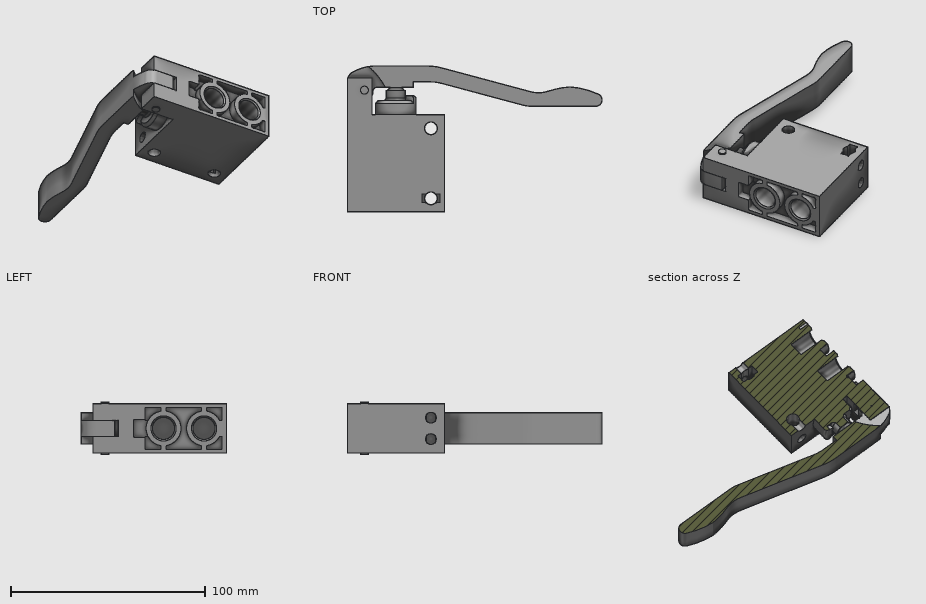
import cadquery as cq
import math


block_size = 50.0
block_thick = 25.5
post_width = 12.7
post_top = 68.9
hinge_slot_width = 8.3
hinge_slot_floor = 55.5

mount_x = 43.0
mount_hole_dia = 6.4
mount_low_y = 7.0
mount_high_y = 43.0
cross_bore_dia = 5.5
cross_bore_z = 5.5
mount_slot_length = 9.2
mount_slot_width = 4.5
mount_slot_depth = 22.9

port_dia = 11.4
port_depth = 14.4
port_chamfer = 0.8
port_low_y = 11.7
port_high_y = 32.5
boss_dia = 18.0
pocket_depth = 5.0
pocket_low_y = 2.4
pocket_high_y = 42.0
pocket_half_height = 10.9
pocket_inner_z = 4.0
pocket_fillet = 0.7
boss_rib_half = 1.3
latch_high_y = 48.0
latch_height = 9.2
latch_depth = 4.5

plunger_x = 24.9
cup_radius = 10.5
cup_shoulder_y = 55.8
cup_chamfer = 1.6
collar_radius = 5.8
neck_radius = 5.0
neck_base_y = 58.5
neck_top_y = 62.5
dome_base_radius = 4.5
dome_top_radius = 2.9
lip_top_y = 59.7
lip_round = 1.6
lip_angle = 60.0

pin_x = 8.8
pin_y = 62.6
pin_dia = 4.0
pin_length = 27.0
lever_width = 16.2
lever_length = 131.0
lever_top_y = 75.0
lever_arm_bottom_y = 66.8
lever_pad_y = 64.0
lever_pad_end_x = 33.9
tongue_bottom_y = 57.6
tongue_right_x = 13.1
tongue_fillet = 2.2
tongue_heel_radius = 3.7
tongue_width = hinge_slot_width - 0.1
nose_start_y = 67.5
nose_middle = (1.0, 70.5)
nose_end = (3.5, 72.3)
crown_middle = (8.9, 74.4)
crown_end_x = 14.8
shoulder_top_x = 10.5
shoulder_middle = (16.1, 69.3)
shoulder_bottom_x = 19.5
arm_drop_angle = 15.0
arm_top_corner_x = 44.9
arm_top_radius = 27.5
arm_bottom_corner_x = 45.6
arm_bottom_radius = 22.3
grip_bottom_y = 54.2
grip_corner_radius = 19.0
grip_valley_start_x = 94.3
grip_valley_end = (103.2, 62.1)
grip_crest = (114.5, 64.3)
grip_back_middle = (121.8, 63.1)
grip_back_end = (128.5, 60.8)
grip_tip_y = 57.5
grip_bottom_end_x = 127.6


def box(x_min, x_max, y_min, y_max, height):
    """Block between X and Y limits, centred on Z = 0."""
    size = (x_max - x_min, y_max - y_min, height)
    centre = ((x_min + x_max) / 2, (y_min + y_max) / 2, 0)
    return cq.Workplane("XY").box(*size).translate(centre)


def rod_x(y, dia, depth):
    """Cylinder entering the X = 0 face."""
    return cq.Workplane("YZ").center(y, 0).circle(dia / 2).extrude(depth)


def make_body():
    body = box(0, block_size, 0, block_size, block_thick)
    body = body.union(box(0, post_width, 0, post_top, block_thick))
    return body.cut(box(0, post_width, hinge_slot_floor, post_top, hinge_slot_width))


def cut_mounting(body):
    for y in (mount_low_y, mount_high_y):
        hole = cq.Workplane("XY").center(mount_x, y).circle(mount_hole_dia / 2)
        body = body.cut(hole.extrude(block_thick, both=True))

    for face_y, hole_y in ((0, mount_low_y), (block_size, mount_high_y)):
        bores = (
            cq.Workplane("XZ", origin=(mount_x, face_y, 0))
            .pushPoints([(0, cross_bore_z), (0, -cross_bore_z)])
            .circle(cross_bore_dia / 2)
            .extrude(face_y - hole_y)
        )
        body = body.cut(bores)

    slot = (
        cq.Workplane("XY", origin=(mount_x, mount_low_y, block_thick / 2))
        .rect(mount_slot_length, mount_slot_width)
        .extrude(-mount_slot_depth)
    )
    return body.cut(slot)


def face_pocket(y_min, y_max, z_min, z_max, depth):
    """Pocket in the X = 0 face that leaves the round port bosses standing."""
    pocket = (
        cq.Workplane("YZ")
        .center((y_min + y_max) / 2, (z_min + z_max) / 2)
        .rect(y_max - y_min, z_max - z_min)
        .extrude(depth)
    )
    for y in (port_low_y, port_high_y):
        pocket = pocket.cut(rod_x(y, boss_dia, depth))
    return pocket.edges("|X").fillet(pocket_fillet)


def cut_ports(body):
    for y in (port_low_y, port_high_y):
        body = body.cut(rod_x(y, port_dia, port_depth))
        mouth = cq.Solid.makeCone(
            port_dia / 2 + port_chamfer, port_dia / 2, port_chamfer,
            pnt=cq.Vector(0, y, 0), dir=cq.Vector(1, 0, 0),
        )
        body = body.cut(cq.Workplane(mouth))
    return body


def cut_pockets(body):
    body = body.cut(face_pocket(
        port_low_y + boss_rib_half, port_high_y - boss_rib_half,
        -pocket_half_height, pocket_half_height, pocket_depth,
    ))
    corner_spans = (
        (pocket_low_y, port_low_y - boss_rib_half),
        (port_high_y + boss_rib_half, pocket_high_y),
    )
    for y_min, y_max in corner_spans:
        corner = face_pocket(y_min, y_max, pocket_inner_z, pocket_half_height, pocket_depth)
        body = body.cut(corner).cut(corner.mirror("XY"))
    return body.cut(face_pocket(
        port_high_y, latch_high_y, -latch_height / 2, latch_height / 2, latch_depth,
    ))


def make_plunger():
    axis = ((0, 0), (0, 1))
    cup_top_y = cup_shoulder_y + cup_chamfer
    plunger = (
        cq.Workplane("XY")
        .moveTo(0, block_size)
        .lineTo(cup_radius, block_size)
        .lineTo(cup_radius, cup_shoulder_y)
        .lineTo(cup_radius - cup_chamfer, cup_top_y)
        .lineTo(collar_radius, cup_top_y)
        .lineTo(neck_radius, neck_base_y)
        .lineTo(neck_radius, neck_top_y)
        .lineTo(dome_base_radius, neck_top_y)
        .lineTo(dome_top_radius, lever_pad_y)
        .lineTo(0, lever_pad_y)
        .close()
        .revolve(360, *axis)
    )
    lip = (
        cq.Workplane("XY")
        .moveTo(collar_radius, block_size)
        .lineTo(cup_radius, block_size)
        .lineTo(cup_radius, lip_top_y - lip_round)
        .tangentArcPoint((cup_radius - lip_round, lip_top_y), relative=False)
        .lineTo(collar_radius, lip_top_y)
        .close()
        .revolve(lip_angle, *axis)
        .rotate((0, 0, 0), (0, 1, 0), -lip_angle / 2)
    )
    return plunger.union(lip).translate((plunger_x, 0, 0))


def make_lever():
    drop = math.radians(arm_drop_angle)

    def bend(corner_x, corner_y, radius, angle_in, angle_out):
        """Start and end of the arc that rounds a corner between two falling lines."""
        reach = radius * math.tan(drop / 2)
        start = (corner_x - reach * math.cos(angle_in), corner_y + reach * math.sin(angle_in))
        end = (corner_x + reach * math.cos(angle_out), corner_y - reach * math.sin(angle_out))
        return start, end

    top_start, top_end = bend(arm_top_corner_x, lever_top_y, arm_top_radius, 0, drop)
    low_start, low_end = bend(arm_bottom_corner_x, lever_arm_bottom_y, arm_bottom_radius, 0, drop)
    grip_corner_x = arm_bottom_corner_x + (lever_arm_bottom_y - grip_bottom_y) / math.tan(drop)
    grip_start, grip_end = bend(grip_corner_x, grip_bottom_y, grip_corner_radius, drop, 0)

    valley_fall = (grip_valley_start_x - arm_top_corner_x) * math.tan(drop)
    valley_start = (grip_valley_start_x, lever_top_y - valley_fall)
    side = (
        cq.Workplane("XY")
        .moveTo(0, tongue_bottom_y)
        .lineTo(0, nose_start_y)
        .threePointArc(nose_middle, nose_end)
        .threePointArc(crown_middle, (crown_end_x, lever_top_y))
        .lineTo(*top_start)
        .tangentArcPoint(top_end, relative=False)
        .lineTo(*valley_start)
        .tangentArcPoint(grip_valley_end, relative=False)
        .tangentArcPoint(grip_crest, relative=False)
        .threePointArc(grip_back_middle, grip_back_end)
        .threePointArc((lever_length, grip_tip_y), (grip_bottom_end_x, grip_bottom_y))
        .lineTo(*grip_end)
        .tangentArcPoint(grip_start, relative=False)
        .lineTo(*low_end)
        .tangentArcPoint(low_start, relative=False)
        .lineTo(lever_pad_end_x, lever_arm_bottom_y)
        .lineTo(lever_pad_end_x, lever_pad_y)
        .lineTo(tongue_right_x + tongue_fillet, lever_pad_y)
        .radiusArc((tongue_right_x, lever_pad_y - tongue_fillet), -tongue_fillet)
        .lineTo(tongue_right_x, tongue_bottom_y + tongue_heel_radius)
        .tangentArcPoint((tongue_right_x - tongue_heel_radius, tongue_bottom_y), relative=False)
        .close()
    )
    lever = side.extrude(lever_width / 2, both=True)

    relief = (
        cq.Workplane("XY")
        .moveTo(shoulder_top_x, lever_top_y)
        .threePointArc(shoulder_middle, (shoulder_bottom_x, lever_pad_y))
        .lineTo(shoulder_bottom_x, tongue_bottom_y)
        .lineTo(0, tongue_bottom_y)
        .lineTo(0, lever_top_y)
        .close()
        .extrude(lever_width / 2, both=True)
    )
    tongue_zone = box(0, shoulder_bottom_x, tongue_bottom_y, lever_top_y, tongue_width)
    return lever.cut(relief.cut(tongue_zone))


def make_pin():
    pin = cq.Workplane("XY").center(pin_x, pin_y).circle(pin_dia / 2)
    return pin.extrude(pin_length / 2, both=True)


body = cut_pockets(cut_ports(cut_mounting(make_body())))
result = body.union(make_plunger()).union(make_lever()).union(make_pin())